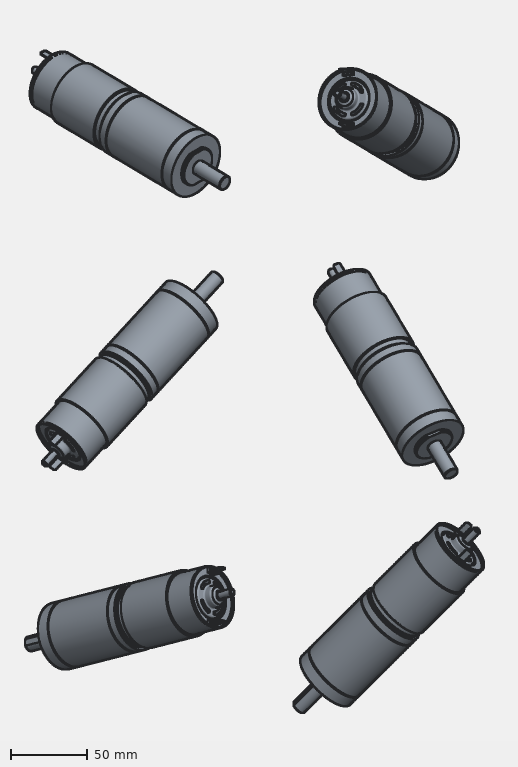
import cadquery as cq
import math

REAR_SHAFT_TIP = 0.0
TERMINAL_TIP = 8.0
BEARING_NOSE = 11.5
BEARING_FACE = 12.7
TERMINAL_PAD_FACE = 16.8
CAN_REAR = 17.3
END_CAP_DISC_FACE = 18.5
END_CAP_FLOOR = 19.1
DISC_GROOVE_BOTTOM = 21.0
SLEEVE_START = 38.8
SLEEVE_END = 78.5
NECK_STEP = 82.6
GEARBOX_START = 84.2
GEARBOX_SEAMS = (90.3, 142.5)
GEARBOX_END = 151.5
PILOT_FACE = 153.8
SHAFT_FLAT_START = 159.3
OUTPUT_SHAFT_TIP = 178.8

REAR_SHAFT_RADIUS = 2.5
BEARING_NOSE_RADIUS = 3.4
BEARING_RADIUS = 7.3
DISC_RADIUS = 13.8
CAN_BORE_RADIUS = 20.2
CAN_RADIUS = 21.0
NECK_RADIUS = 20.7
SLEEVE_RADIUS = 22.3
GEARBOX_RADIUS = 22.5
PILOT_RADIUS = 13.4
OUTPUT_SHAFT_RADIUS = 5.0

REAR_SHAFT_CHAMFER = 0.7
OUTPUT_SHAFT_CHAMFER = 0.4
BEARING_FILLET = 1.5
BEARING_FOOT_FILLET = 1.0
DISC_EDGE_FILLET = 1.5
DISC_GROOVE_RADIUS = 14.3
DISC_GROOVE_CHAMFER = 0.5
SEAM_WIDTH = 0.5
SEAM_DEPTH = 0.2
PILOT_CHAMFER = 0.5
PILOT_FLAT_HEIGHT = 12.3
SHAFT_FLAT_OFFSET = 4.5

SLOT_MID_RADIUS = 10.5
SLOT_WIDTH = 2.1
SLOT_END_ANGLES = (27, 73)
SLOT_DEPTH = 5.4

PAD_WIDTH = 7.2
PAD_INNER_HEIGHT = 16.5
PAD_OUTER_HEIGHT = 19.8
BLADE_WIDTH = 5.0
BLADE_THICKNESS = 0.5
BLADE_HEIGHT = 18.2
BLADE_TIP_CHAMFER = 0.9


def cylinder(start, end, radius):
    """Solid round bar on the motor axis between two stations."""
    return cq.Workplane("YZ", origin=(start, 0, 0)).circle(radius).extrude(end - start)


def box(x_range, y_range, z_range):
    """Axis-aligned block given by its limits."""
    size = [high - low for low, high in (x_range, y_range, z_range)]
    corner = (x_range[0], y_range[0], z_range[0])
    return cq.Workplane("XY", origin=corner).box(*size, centered=False)


def motor_housing():
    can = cylinder(CAN_REAR, NECK_STEP, CAN_RADIUS)
    neck = cylinder(NECK_STEP, GEARBOX_START, NECK_RADIUS)
    sleeve = cylinder(SLEEVE_START, SLEEVE_END, SLEEVE_RADIUS)
    recess = cylinder(CAN_REAR, SLEEVE_START, CAN_BORE_RADIUS)
    return can.union(sleeve).union(neck).cut(recess)


def gearbox():
    body = cylinder(GEARBOX_START, GEARBOX_END, GEARBOX_RADIUS)
    for seam in GEARBOX_SEAMS:
        start, end = seam - SEAM_WIDTH / 2, seam + SEAM_WIDTH / 2
        groove = cylinder(start, end, GEARBOX_RADIUS)
        body = body.cut(groove.cut(cylinder(start, end, GEARBOX_RADIUS - SEAM_DEPTH)))
    return body


def pilot():
    """Round locating boss with flats on its top and bottom."""
    boss = cylinder(GEARBOX_END, PILOT_FACE, PILOT_RADIUS).faces(">X").chamfer(PILOT_CHAMFER)
    between_flats = box(
        (GEARBOX_END, PILOT_FACE),
        (-PILOT_RADIUS, PILOT_RADIUS),
        (-PILOT_FLAT_HEIGHT, PILOT_FLAT_HEIGHT),
    )
    return boss.intersect(between_flats)


def output_shaft():
    """D-shaped shaft with its flat facing +Y."""
    shaft = cylinder(GEARBOX_END, OUTPUT_SHAFT_TIP, OUTPUT_SHAFT_RADIUS)
    shaft = shaft.faces(">X").chamfer(OUTPUT_SHAFT_CHAMFER)
    flat = box(
        (SHAFT_FLAT_START, OUTPUT_SHAFT_TIP),
        (SHAFT_FLAT_OFFSET, OUTPUT_SHAFT_RADIUS),
        (-OUTPUT_SHAFT_RADIUS, OUTPUT_SHAFT_RADIUS),
    )
    return shaft.cut(flat)


def end_cap():
    """Outer ring, grooved disc and bearing housing, turned from one half outline."""
    corner = math.sqrt(0.5)
    shoulder_radius = BEARING_RADIUS - BEARING_FILLET
    foot_x = END_CAP_DISC_FACE - BEARING_FOOT_FILLET
    foot_radius = BEARING_RADIUS + BEARING_FOOT_FILLET
    disc_flat_radius = DISC_RADIUS - DISC_EDGE_FILLET
    disc_edge_x = END_CAP_DISC_FACE + DISC_EDGE_FILLET
    outline = (
        cq.Workplane("XY")
        .moveTo(SLEEVE_START, 0)
        .lineTo(BEARING_NOSE, 0)
        .lineTo(BEARING_NOSE, BEARING_NOSE_RADIUS)
        .lineTo(BEARING_FACE, shoulder_radius)
        .threePointArc(
            (BEARING_FACE + BEARING_FILLET * (1 - corner), shoulder_radius + BEARING_FILLET * corner),
            (BEARING_FACE + BEARING_FILLET, BEARING_RADIUS),
        )
        .lineTo(foot_x, BEARING_RADIUS)
        .threePointArc(
            (foot_x + BEARING_FOOT_FILLET * corner, foot_radius - BEARING_FOOT_FILLET * corner),
            (END_CAP_DISC_FACE, foot_radius),
        )
        .lineTo(END_CAP_DISC_FACE, disc_flat_radius)
        .threePointArc(
            (disc_edge_x - DISC_EDGE_FILLET * corner, disc_flat_radius + DISC_EDGE_FILLET * corner),
            (disc_edge_x, DISC_RADIUS),
        )
        .lineTo(DISC_GROOVE_BOTTOM, DISC_RADIUS)
        .lineTo(DISC_GROOVE_BOTTOM, DISC_GROOVE_RADIUS)
        .lineTo(END_CAP_FLOOR + DISC_GROOVE_CHAMFER, DISC_GROOVE_RADIUS)
        .lineTo(END_CAP_FLOOR, DISC_GROOVE_RADIUS + DISC_GROOVE_CHAMFER)
        .lineTo(END_CAP_FLOOR, CAN_BORE_RADIUS)
        .lineTo(SLEEVE_START, CAN_BORE_RADIUS)
        .close()
    )
    return outline.revolve(360, (0, 0, 0), (1, 0, 0))


def cooling_slot():
    """Arc-shaped slot cutter in the +Y +Z quarter."""
    def polar(radius, angle):
        return radius * math.cos(math.radians(angle)), radius * math.sin(math.radians(angle))

    start, end = SLOT_END_ANGLES
    middle = (start + end) / 2
    inner = SLOT_MID_RADIUS - SLOT_WIDTH / 2
    outer = SLOT_MID_RADIUS + SLOT_WIDTH / 2
    ring_sector = (
        cq.Workplane("YZ", origin=(END_CAP_DISC_FACE, 0, 0))
        .moveTo(*polar(inner, start))
        .threePointArc(polar(inner, middle), polar(inner, end))
        .lineTo(*polar(outer, end))
        .threePointArc(polar(outer, middle), polar(outer, start))
        .close()
        .extrude(SLOT_DEPTH)
    )
    round_ends = (
        cq.Workplane("YZ", origin=(END_CAP_DISC_FACE, 0, 0))
        .pushPoints([polar(SLOT_MID_RADIUS, angle) for angle in SLOT_END_ANGLES])
        .circle(SLOT_WIDTH / 2)
        .extrude(SLOT_DEPTH)
    )
    return ring_sector.union(round_ends)


def rear_shaft():
    return cylinder(REAR_SHAFT_TIP, BEARING_FACE, REAR_SHAFT_RADIUS).faces("<X").chamfer(REAR_SHAFT_CHAMFER)


def terminal():
    """Upper solder blade on its insulating pad."""
    pad = box(
        (TERMINAL_PAD_FACE, END_CAP_FLOOR),
        (-PAD_WIDTH / 2, PAD_WIDTH / 2),
        (PAD_INNER_HEIGHT, PAD_OUTER_HEIGHT),
    )
    blade = box(
        (TERMINAL_TIP, END_CAP_FLOOR),
        (-BLADE_WIDTH / 2, BLADE_WIDTH / 2),
        (BLADE_HEIGHT - BLADE_THICKNESS / 2, BLADE_HEIGHT + BLADE_THICKNESS / 2),
    )
    return pad.union(blade.edges("|Z and <X").chamfer(BLADE_TIP_CHAMFER))


result = motor_housing().union(end_cap())

slot = cooling_slot()
for quarter in (slot, slot.mirror("XY"), slot.mirror("XZ"), slot.mirror("XY").mirror("XZ")):
    result = result.cut(quarter)

upper_terminal = terminal()
for feature in (
    upper_terminal,
    upper_terminal.mirror("XY"),
    rear_shaft(),
    gearbox(),
    pilot(),
    output_shaft(),
):
    result = result.union(feature)